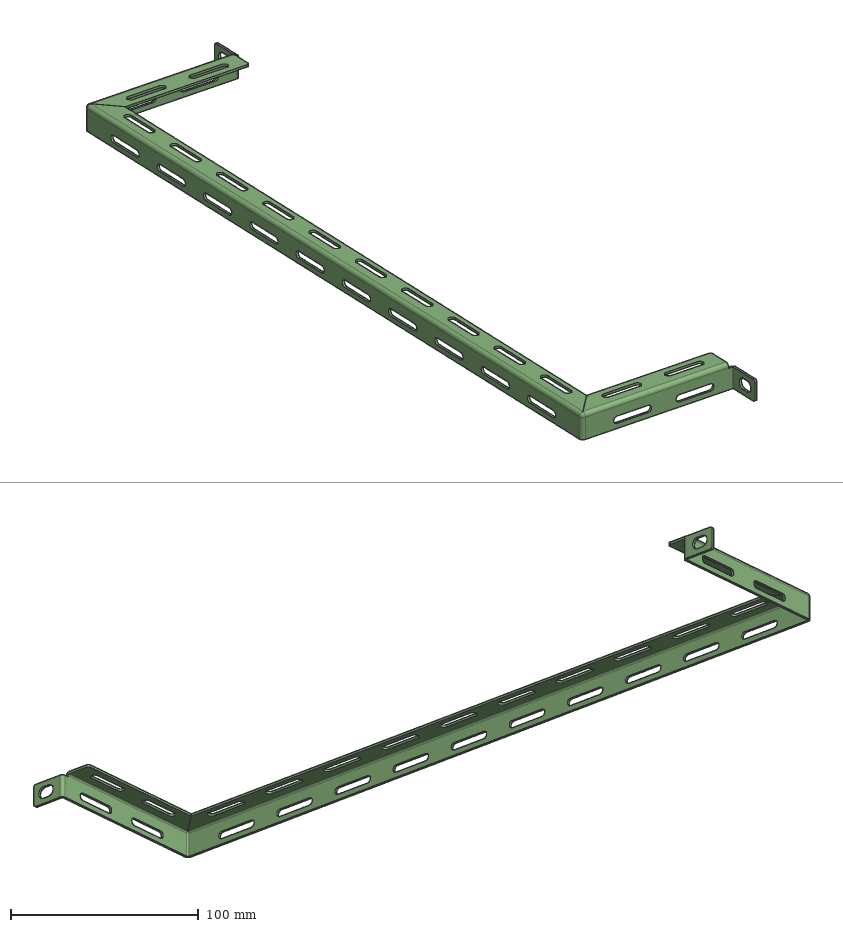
import cadquery as cq

overall_length = 482.5
overall_depth = 102.0
overall_height = 16.0
frame_length = 444.0
sheet = 1.5
inner_bend = 1.0
outer_bend = inner_bend + sheet

front_flange_width = 15.0
side_flange_width = 16.0
flange_end_gap = 4.5
flange_depth = overall_depth - flange_end_gap
flange_corner = 1.5
seam_width = 0.25

ear_height = 13.0
ear_corner = 1.5
ear_inner_bend = 0.5
ear_outer_bend = ear_inner_bend + sheet
ear_hole_spacing = 465.0
ear_hole_length = 10.0
ear_hole_width = 6.8

slot_length = 25.0
slot_width = 4.5
front_slot_span = 372.0
front_slot_count = 10
slot_pitch = front_slot_span / (front_slot_count - 1)
side_slot_start = 34.0
side_slot_count = 2
wall_slot_height = 5.5
front_flange_slot_inset = 9.5
side_flange_slot_inset = 9.5

half_frame = frame_length / 2
half_length = overall_length / 2
cut_depth = 2 * sheet


def rounded_block(inset, end_y, bottom_z, radius):
    """Block inset from the frame's outer faces, with the bent edges rounded."""
    width = frame_length - 2 * inset
    block = cq.Workplane("XY").box(
        width, end_y - inset, overall_height - inset - bottom_z, centered=(True, False, False)
    ).translate((0, inset, bottom_z))
    block = block.edges("|Z and <Y").fillet(radius)
    return block.faces(">Z").edges("not >Y").fillet(radius)


def make_frame():
    """Front and side walls with the top flange turned inwards."""
    outside = rounded_block(0, flange_depth, 0, outer_bend)
    inside = rounded_block(sheet, flange_depth + sheet, -sheet, inner_bend)
    opening = cq.Workplane("XY").box(
        frame_length - 2 * side_flange_width, overall_depth, 2 * overall_height, centered=(True, False, False)
    ).translate((0, front_flange_width, 0))
    frame = outside.cut(inside).cut(opening)
    for side in (-1, 1):
        free_corner = cq.selectors.NearestToPointSelector(
            (side * (half_frame - side_flange_width), flange_depth, overall_height)
        )
        frame = frame.edges("|Z").edges(free_corner).fillet(flange_corner)
    return frame


def make_left_ear():
    """Tongue at the end of the left wall, bent outwards into a slotted ear."""
    tongue = (
        cq.Workplane("XY")
        .moveTo(-half_frame, flange_depth)
        .lineTo(-half_frame, overall_depth - sheet)
        .lineTo(-half_length, overall_depth - sheet)
        .lineTo(-half_length, overall_depth)
        .lineTo(sheet - half_frame, overall_depth)
        .lineTo(sheet - half_frame, flange_depth)
        .close()
        .extrude(ear_height)
    )
    inside_corner = cq.selectors.NearestToPointSelector((-half_frame, overall_depth - sheet, ear_height / 2))
    tongue = tongue.edges("|Z").edges(inside_corner).fillet(ear_inner_bend)
    tongue = tongue.edges("|Z and >X and >Y").fillet(ear_outer_bend)
    tongue = tongue.faces("<X").edges("|Y").fillet(ear_corner)
    hole = (
        cq.Workplane("XZ", origin=(-ear_hole_spacing / 2, overall_depth, ear_height / 2))
        .slot2D(ear_hole_length, ear_hole_width)
        .extrude(cut_depth)
    )
    return tongue.cut(hole)


def slot_cutter(plane, center, angle=0):
    """Slot-shaped cutter that passes through the sheet on both sides of its center."""
    return (
        cq.Workplane(plane, origin=center)
        .slot2D(slot_length, slot_width, angle)
        .extrude(cut_depth, both=True)
    )


def seam_cutter(side):
    """Thin diagonal slit where the front and side flanges meet; side is -1 or 1."""
    outer_x = half_frame - outer_bend
    outer_y = outer_bend
    inner_x = half_frame - side_flange_width - seam_width
    inner_y = front_flange_width + seam_width
    slit = (
        cq.Workplane("XY", origin=(0, 0, overall_height - cut_depth))
        .moveTo(outer_x, outer_y)
        .lineTo(inner_x, inner_y)
        .lineTo(inner_x, inner_y + seam_width)
        .lineTo(outer_x, outer_y + seam_width)
        .close()
        .extrude(2 * cut_depth)
    )
    return slit if side > 0 else slit.mirror("YZ")


result = make_frame()
left_ear = make_left_ear()
result = result.union(left_ear).union(left_ear.mirror("YZ"))

for i in range(front_slot_count):
    x = i * slot_pitch - front_slot_span / 2
    result = result.cut(slot_cutter("XZ", (x, 0, wall_slot_height)))
    result = result.cut(slot_cutter("XY", (x, front_flange_slot_inset, overall_height)))

for side in (-1, 1):
    for i in range(side_slot_count):
        y = side_slot_start + i * slot_pitch
        result = result.cut(slot_cutter("YZ", (side * half_frame, y, wall_slot_height)))
        flange_slot_x = side * (half_frame - side_flange_slot_inset)
        result = result.cut(slot_cutter("XY", (flange_slot_x, y, overall_height), 90))
    result = result.cut(seam_cutter(side))